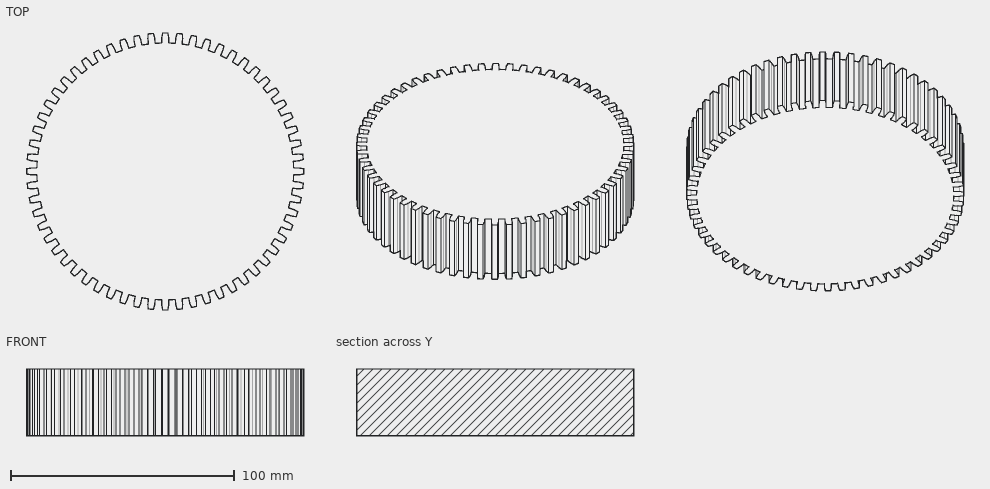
import cadquery as cq
import math

module = 2.0
tooth_count = 60
face_width = 30.0
dedendum_factor = 1.25

pitch_radius = module * tooth_count / 2
tip_radius = pitch_radius + module
root_radius = pitch_radius - dedendum_factor * module
tooth_pitch = 360 / tooth_count

pressure_angle = 20.0
half_thickness = math.pi * module / 4
tip_half_thickness = half_thickness - module / 2 * math.tan(math.radians(pressure_angle))

root_half_angle = math.degrees(half_thickness / root_radius)
pitch_half_angle = math.degrees(half_thickness / pitch_radius)
tip_half_angle = math.degrees(tip_half_thickness / tip_radius)


def polar(radius, angle):
    """Point at a radius and an angle in degrees about the gear axis."""
    return (radius * math.cos(math.radians(angle)), radius * math.sin(math.radians(angle)))


def gear_outline():
    """Closed gear outline: flat-sided flanks joined by tip and root arcs."""
    outline = cq.Workplane("XY").moveTo(*polar(root_radius, -root_half_angle))
    for tooth in range(tooth_count):
        centre = tooth * tooth_pitch
        next_centre = centre + tooth_pitch
        outline = (
            outline.lineTo(*polar(pitch_radius, centre - pitch_half_angle))
            .lineTo(*polar(tip_radius, centre - tip_half_angle))
            .threePointArc(polar(tip_radius, centre), polar(tip_radius, centre + tip_half_angle))
            .lineTo(*polar(pitch_radius, centre + pitch_half_angle))
            .lineTo(*polar(root_radius, centre + root_half_angle))
            .threePointArc(
                polar(root_radius, centre + tooth_pitch / 2),
                polar(root_radius, next_centre - root_half_angle),
            )
        )
    return outline.close()


result = gear_outline().extrude(face_width)